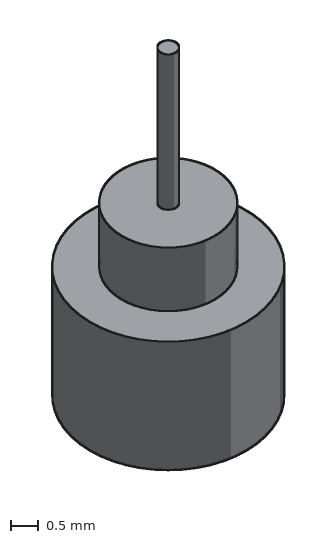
import cadquery as cq

total_height = 8.25
body_diameter = 4.2
body_height = 3.05
collar_diameter = 2.5
collar_height = 1.51
insulator_diameter = 1.955
pin_diameter = 0.4

collar_top = body_height + collar_height


def cylinder(diameter, bottom, top):
    """Upright cylinder on the Z axis between two heights."""
    return cq.Workplane("XY").workplane(offset=bottom).circle(diameter / 2).extrude(top - bottom)


insulator = cylinder(insulator_diameter, body_height, collar_top)
body = cylinder(body_diameter, 0, body_height)
collar = cylinder(collar_diameter, body_height, collar_top)
shell = body.union(collar).cut(insulator)

pin = cylinder(pin_diameter, collar_top, total_height)

result = shell.union(insulator, clean=False).union(pin, clean=False)